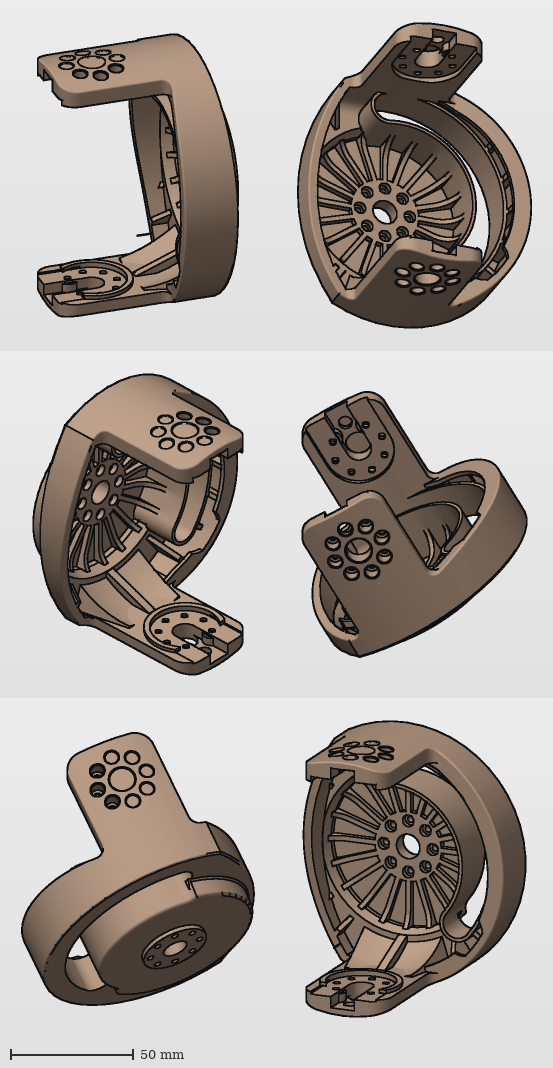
import cadquery as cq
import math

outer_radius = 54.2
left_reach = 39.8
corner_x = -24.8
corner_z = math.sqrt(outer_radius**2 - corner_x**2)

floor_y = -2.0
left_wall = 3.9
rim_wall = 3.5

arm_half_width = 18.9
arm_end_y = -63.5
arm_corner_radius = 7.5
arm_root_fillet = 3.5
outer_edge_fillet = 0.8
upper_arm_inner_z = 44.2
upper_root_radius = 5.0
lower_arm_inner_z = -45.7

upper_left_front_y = -16.0
middle_left_front_y = -13.1
lower_left_front_y = -9.1
left_edge_half_height = 41.2
rim_start_y = -17.9
rim_bend = (30.5, -19.6)
rim_end_y = -23.4
rim_overrun = 2.2
lid_thickness = 1.8
lid_inner_radius = 46.9
lid_opening_radius = 10.3
lid_opening_centre = (34.2, -25.8)

disc_back_y = 8.0
disc_radius = 35.8
disc_root_radius = 36.3
disc_flare_radius = 37.1
disc_flare = 0.9
disc_edge_fillet = 1.4
hub_back_y = 10.0
hub_diameter = 28.0
hub_face_y = 3.0
hub_plateau_radius = 14.9
dish_floor_y = 5.6
dish_radius = 34.4
dish_mouth_radius = 36.3

slot_inner_radius = 32.7
slot_outer_radius = 44.7
slot_mid_radius = (slot_inner_radius + slot_outer_radius) / 2
slot_half_width = (slot_outer_radius - slot_inner_radius) / 2
slot_start_angle = -39.0
slot_end_angle = 99.0
slot_wall = 1.5
slot_wall_front_y = -16.0

rib_count = 20
rib_pitch = 360 / rib_count
rib_width = 2.2
rib_curve_radius = 9.3
open_rib_radius = 36.7
gusset_steps = (-3, 7, 8, -7, -8)
web_steps = (-1, 0, 1, 2)
low_web_step = -2
gusset_start_radius = 39.1
gusset_end_radius = 47.7
gusset_front_y = -15.2
ramp_middle = (43.7, -10.7)
ramp_end = (47.2, -27.1)
ramp_side_spread = 17.0
ramp_side_offset = 6.7
ramp_side_taper = 12.0
centre_rib_width = 3.8
centre_rib_start = (-2.2, -36.3)
centre_rib_end = (-26.0, lower_arm_inner_z)

bolt_count = 8
bolt_circle_radius = 11.0
bolt_diameter = 2.7
hub_bore_diameter = 10.4
hub_counterbore = 4.9
hub_counterbore_depth = 2.7
arm_centre_y = -44.5
arm_counterbore = 5.4
arm_counterbore_floor = 47.5
boss_angles = (-45, -135)
bolt_boss = 8.0
arm_hole_chamfer = 0.4

cable_slot_roof = 51.2
seat_half_width = 14.5
seat_floor_z = 46.4
ring_outer_radius = 16.9
ring_height = 1.5
ring_cut_y = -53.0

margin = 10.8
tolerance = 0.01
arc_bow = 1 - math.sqrt(0.5)
far = 130.2


def polar(radius, angle):
    """Point in the XZ plane at an angle measured from +X towards +Z."""
    a = math.radians(angle)
    return (radius * math.cos(a), radius * math.sin(a))


def extrude_y(sketch, y_back, y_front):
    """Extrude an XZ outline from y_back forward to y_front."""
    return sketch.extrude(y_back - y_front).translate((0, y_back, 0))


def xz():
    return cq.Workplane("XZ")


def cylinder_y(radius, y_back, y_front):
    return extrude_y(xz().circle(radius), y_back, y_front)


def outline(inset_left, inset_round):
    """Round outline flattened on the left by a shallow arc."""
    rise = left_reach + corner_x
    arc_radius = (corner_z**2 + rise**2) / (2 * rise)
    arc_centre_x = arc_radius - left_reach
    round_prism = cylinder_y(outer_radius - inset_round, margin, -far)
    left_prism = cylinder_y(arc_radius - inset_left, margin, -far)
    return round_prism.intersect(left_prism.translate((arc_centre_x, 0, 0)))


def slot_prism(grow, y_back, y_front):
    """Curved slot around the hub axis, grown outward by an offset."""
    r_in = slot_inner_radius - grow
    r_out = slot_outer_radius + grow
    r_end = slot_half_width + grow
    mid_angle = (slot_start_angle + slot_end_angle) / 2
    tip_start = polar(slot_mid_radius, slot_start_angle)
    tip_end = polar(slot_mid_radius, slot_end_angle)
    start_direction = polar(r_end, slot_start_angle - 90)
    end_direction = polar(r_end, slot_end_angle + 90)
    start_apex = (tip_start[0] + start_direction[0], tip_start[1] + start_direction[1])
    end_apex = (tip_end[0] + end_direction[0], tip_end[1] + end_direction[1])
    sketch = (
        xz()
        .moveTo(*polar(r_out, slot_start_angle))
        .threePointArc(polar(r_out, mid_angle), polar(r_out, slot_end_angle))
        .threePointArc(end_apex, polar(r_in, slot_end_angle))
        .threePointArc(polar(r_in, mid_angle), polar(r_in, slot_start_angle))
        .threePointArc(start_apex, polar(r_out, slot_start_angle))
        .close()
    )
    return extrude_y(sketch, y_back, y_front)


def rim_front_curve(sketch):
    """Front edge of the right rim, drawn from the arm root outward."""
    rim_tip = (outer_radius + rim_overrun, rim_end_y)
    return sketch.lineTo(*rim_bend).tangentArcPoint(rim_tip, relative=False)


def plan_prism(left_front_y, z_low, z_high):
    """Body and arm as seen along Z, with one height for the left wall."""
    w = arm_half_width
    f = arm_root_fillet
    c = arm_corner_radius
    sketch = (
        cq.Workplane("XY", origin=(0, 0, z_low))
        .moveTo(-outer_radius, 0)
        .lineTo(-outer_radius, left_front_y)
        .lineTo(-w - f, left_front_y)
        .threePointArc((-w - f * arc_bow, left_front_y - f * arc_bow), (-w, left_front_y - f))
        .lineTo(-w, arm_end_y + c)
        .threePointArc((-w + c * arc_bow, arm_end_y + c * arc_bow), (-w + c, arm_end_y))
        .lineTo(w - c, arm_end_y)
        .threePointArc((w - c * arc_bow, arm_end_y + c * arc_bow), (w, arm_end_y + c))
        .lineTo(w, rim_start_y - f)
        .threePointArc((w + f * arc_bow, rim_start_y - f * arc_bow), (w + f, rim_start_y))
    )
    sketch = rim_front_curve(sketch).lineTo(outer_radius + rim_overrun, 0).close()
    return sketch.extrude(z_high - z_low)


def left_front_cut():
    """Space in front of the left wall, bounded by its S-shaped front edge."""
    return (
        cq.Workplane("YZ", origin=(-far, 0, 0))
        .moveTo(lower_left_front_y, -outer_radius)
        .lineTo(lower_left_front_y, -left_edge_half_height)
        .spline(
            [(middle_left_front_y, 0), (upper_left_front_y, left_edge_half_height)],
            tangents=[(0, 1), (0, 1)],
            includeCurrent=True,
        )
        .lineTo(upper_left_front_y, outer_radius)
        .lineTo(-far, outer_radius)
        .lineTo(-far, -outer_radius)
        .close()
        .extrude(far + corner_x)
    )


def outer_body():
    upper = plan_prism(upper_left_front_y, -left_edge_half_height, far)
    lower = plan_prism(lower_left_front_y, -far, -left_edge_half_height)
    solid = outline(0, 0).intersect(upper.union(lower)).cut(left_front_cut())
    solid = solid.newObject(front_outer_edges(solid)).fillet(outer_edge_fillet)
    return solid.faces(">Y").edges().fillet(outer_edge_fillet)


def on_round_outside(edge):
    """True when the whole edge lies on the round outside surface."""
    points = [edge.positionAt(i / 4) for i in range(5)]
    return all(abs(math.hypot(p.x, p.z) - outer_radius) < tolerance for p in points)


def front_outer_edges(solid):
    """Outer edges along the front of the rim, arms and left wall."""
    edges = []
    for edge in solid.edges().vals():
        centre = edge.Center()
        at_back = centre.y > floor_y
        is_corner = abs(centre.x - corner_x) < tolerance
        is_left_edge = centre.x < corner_x - tolerance
        if not at_back and not is_corner and (on_round_outside(edge) or is_left_edge):
            edges.append(edge)
    return edges


def arm_hole_edges(solid):
    """Edges where the arm holes meet the round outside."""
    reach = bolt_circle_radius + arm_counterbore
    edges = []
    for edge in solid.edges().vals():
        box = edge.BoundingBox()
        near = max(abs(box.xmin), abs(box.xmax)) < reach
        near = near and abs(edge.Center().y - arm_centre_y) < reach
        if near and on_round_outside(edge):
            edges.append(edge)
    return edges


def cavity():
    height = upper_arm_inner_z - lower_arm_inner_z
    slab = cq.Workplane("XY", origin=(0, 0, lower_arm_inner_z)).rect(far, 2 * far).extrude(height)
    front = cq.Workplane("XY").box(far, far, far).translate((0, floor_y - far / 2, 0))
    return outline(left_wall, rim_wall).intersect(slab).intersect(front)


def rim_lid(space):
    """Inward lip along the front of the right rim, open beside the slot's lower end."""
    start = (arm_half_width + arm_root_fillet, rim_start_y)
    front = rim_front_curve(cq.Workplane("XY", origin=(0, 0, -far)).moveTo(0, rim_start_y).lineTo(*start))
    front = front.lineTo(outer_radius + rim_overrun, 0).lineTo(0, 0).close().extrude(2 * far)
    under = front.translate((0, lid_thickness, 0))
    lid = front.cut(under).cut(cylinder_y(lid_inner_radius, margin, -far))
    opening = cylinder_y(lid_opening_radius, margin, -far)
    opening = opening.translate((lid_opening_centre[0], 0, lid_opening_centre[1]))
    return lid.cut(opening).intersect(space)


def upper_root_fillet():
    """Concave blend between the back plate and the upper arm, left of the slot."""
    r = upper_root_radius
    x_low = -left_reach
    top_z = upper_arm_inner_z
    return (
        cq.Workplane("YZ", origin=(x_low, 0, 0))
        .moveTo(floor_y, top_z)
        .lineTo(floor_y, top_z - r)
        .threePointArc((floor_y - r * arc_bow, top_z - r * arc_bow), (floor_y - r, top_z))
        .close()
        .extrude(-x_low)
    )


def lower_root_ramp():
    """Concave blend about the hub axis, from the back plate to the lower arm."""
    ring = (
        cq.Workplane("XY")
        .moveTo(gusset_start_radius, floor_y)
        .threePointArc(ramp_middle, ramp_end)
        .lineTo(outer_radius, ramp_end[1])
        .lineTo(outer_radius, floor_y)
        .close()
        .revolve(360, (0, 0, 0), (0, 1, 0))
    )
    spread = math.tan(math.radians(ramp_side_spread))
    top_z = -gusset_start_radius + margin
    bottom_z = -outer_radius - margin
    top_x = -top_z * spread + ramp_side_offset
    bottom_x = -bottom_z * spread + ramp_side_offset
    sides = (
        cq.Workplane("XZ", origin=(0, floor_y, 0))
        .polyline([(-top_x, top_z), (top_x, top_z), (bottom_x, bottom_z), (-bottom_x, bottom_z)])
        .close()
        .extrude(floor_y - ramp_end[1], taper=ramp_side_taper)
    )
    return ring.intersect(sides)


def centre_rib():
    return (
        cq.Workplane("YZ", origin=(-centre_rib_width / 2, 0, 0))
        .moveTo(floor_y, lower_arm_inner_z)
        .lineTo(floor_y, centre_rib_start[1])
        .lineTo(*centre_rib_start)
        .lineTo(*centre_rib_end)
        .close()
        .extrude(centre_rib_width)
    )


def radial_rib(profile_points, angle):
    """Rib with a (radius, y) profile, turned to its angle about the hub axis."""
    rib = cq.Workplane("XY", origin=(0, 0, -rib_width / 2)).polyline(profile_points).close()
    return rib.extrude(rib_width).rotate((0, 0, 0), (0, 1, 0), -angle)


def outer_ribs():
    gusset = [
        (gusset_start_radius, floor_y),
        (gusset_end_radius, gusset_front_y),
        (outer_radius, gusset_front_y),
        (outer_radius, floor_y),
    ]
    web = [
        (slot_outer_radius, floor_y),
        (slot_outer_radius, slot_wall_front_y),
        (lid_inner_radius, slot_wall_front_y),
        (lid_inner_radius, rim_end_y),
        (outer_radius, rim_end_y),
        (outer_radius, floor_y),
    ]
    low_web = [
        (slot_outer_radius, floor_y),
        (slot_outer_radius, gusset_front_y),
        (outer_radius, gusset_front_y),
        (outer_radius, floor_y),
    ]
    ribs = radial_rib(low_web, low_web_step * rib_pitch)
    for step in gusset_steps:
        ribs = ribs.union(radial_rib(gusset, step * rib_pitch))
    for step in web_steps:
        ribs = ribs.union(radial_rib(web, step * rib_pitch))
    return ribs


def back_disc():
    disc = (
        cq.Workplane("XY")
        .moveTo(0, floor_y)
        .lineTo(disc_flare_radius, floor_y)
        .lineTo(disc_flare_radius, 0)
        .lineTo(disc_root_radius, disc_flare)
        .lineTo(disc_radius, disc_back_y)
        .lineTo(0, disc_back_y)
        .close()
        .revolve(360, (0, 0, 0), (0, 1, 0))
    )
    return disc.union(cylinder_y(hub_diameter / 2, hub_back_y, 0))


def disc_back_edges(solid):
    """Outer edges of the back disc, including those along the slot."""
    edges = []
    for edge in solid.edges().vals():
        on_back = all(abs(edge.positionAt(i / 2).y - disc_back_y) < tolerance for i in range(3))
        start = edge.startPoint()
        if on_back and math.hypot(start.x, start.z) > hub_diameter:
            edges.append(edge)
    return edges


def dish_space():
    return (
        cq.Workplane("XY")
        .moveTo(0, dish_floor_y)
        .lineTo(dish_radius, dish_floor_y)
        .lineTo(dish_radius, hub_face_y)
        .lineTo(dish_mouth_radius, floor_y)
        .lineTo(0, floor_y)
        .close()
        .revolve(360, (0, 0, 0), (0, 1, 0))
    )


def slot_wall_solid():
    """Wall around the slot, inside the outline in front and inside the disc behind."""
    front = slot_prism(slot_wall, floor_y / 2, slot_wall_front_y).intersect(outline(left_wall, rim_wall))
    back = slot_prism(slot_wall, dish_floor_y, floor_y / 2)
    return front.union(back.intersect(cylinder_y(dish_radius, margin, -margin)))


def dish_rib(wall_radius, angle):
    """Rib that runs flat from the hub and curves up against the outer wall."""
    r = rib_curve_radius
    bend_radius = wall_radius - r
    rib = (
        cq.Workplane("XY", origin=(0, 0, -rib_width / 2))
        .moveTo(0, dish_floor_y)
        .lineTo(0, hub_face_y)
        .lineTo(bend_radius, hub_face_y)
        .threePointArc((wall_radius - r * arc_bow, hub_face_y - r * arc_bow), (wall_radius, hub_face_y - r))
        .lineTo(wall_radius, dish_floor_y)
        .close()
        .extrude(rib_width)
    )
    return rib.rotate((0, 0, 0), (0, 1, 0), -angle)


def dish_ribs():
    ribs = cylinder_y(hub_plateau_radius, dish_floor_y, hub_face_y)
    dish_limit = cylinder_y(dish_radius, dish_floor_y, floor_y)
    slot_wall_radius = slot_inner_radius - slot_wall
    for i in range(rib_count):
        angle = i * rib_pitch
        beside_slot = angle <= 90 or angle >= 360 + slot_start_angle
        if beside_slot:
            ribs = ribs.union(dish_rib(slot_wall_radius, angle))
        else:
            ribs = ribs.union(dish_rib(open_rib_radius, angle).intersect(dish_limit))
    return ribs


def hub_holes():
    holes = cylinder_y(hub_bore_diameter / 2, margin, -margin)
    for i in range(bolt_count):
        x, z = polar(bolt_circle_radius, i * 360 / bolt_count)
        bolt = cylinder_y(bolt_diameter / 2, margin, hub_face_y)
        bolt = bolt.union(
            cylinder_y(hub_counterbore / 2, hub_face_y + hub_counterbore_depth, hub_face_y)
        )
        holes = holes.union(bolt.translate((x, 0, z)))
    return holes


def cylinder_z(diameter, z_low, z_high):
    return cq.Workplane("XY", origin=(0, 0, z_low)).circle(diameter / 2).extrude(z_high - z_low)


def arm_holes():
    inner_z = upper_arm_inner_z - margin / 2
    outer_z = outer_radius + margin
    bore = cylinder_z(hub_bore_diameter, inner_z, outer_z).translate((0, arm_centre_y, 0))
    holes = [bore]
    for i in range(bolt_count):
        dx, dy = polar(bolt_circle_radius, i * 360 / bolt_count)
        bolt = cylinder_z(bolt_diameter, inner_z, outer_z)
        bolt = bolt.union(cylinder_z(arm_counterbore, arm_counterbore_floor, outer_z))
        holes.append(bolt.translate((dx, arm_centre_y + dy, 0)))
    cable_slot = cq.Workplane("XY").box(
        hub_bore_diameter, margin - arm_end_y + arm_centre_y, cable_slot_roof - inner_z,
        centered=(True, False, False),
    )
    cable_slot = cable_slot.translate((0, arm_end_y - margin, inner_z))
    for angle in boss_angles:
        dx, dy = polar(bolt_circle_radius, angle)
        boss = cylinder_z(bolt_boss, arm_counterbore_floor, outer_radius)
        cable_slot = cable_slot.cut(boss.translate((dx, arm_centre_y + dy, 0)))
    return [cable_slot] + holes


def motor_seat(z_low, depth):
    """U-shaped recess in the inner face of an arm, open at the arm's end."""
    seat = cylinder_z(2 * seat_half_width, z_low, z_low + depth).translate((0, arm_centre_y, 0))
    run = cq.Workplane("XY").box(
        2 * seat_half_width, arm_centre_y - arm_end_y, depth, centered=(True, False, False)
    )
    return seat.union(run.translate((0, arm_end_y, z_low)))


def lower_ring():
    """Raised ring segment on the lower arm, cut straight on its outer side."""
    ring = (
        cq.Workplane("XY", origin=(0, arm_centre_y, lower_arm_inner_z))
        .circle(ring_outer_radius)
        .circle(seat_half_width)
        .extrude(ring_height)
    )
    trim = cq.Workplane("XY").box(far, far, far * 2).translate((0, ring_cut_y - far / 2, 0))
    return ring.cut(trim)


space = cavity()
shell = outer_body()
for hole in arm_holes():
    shell = shell.cut(hole).cut(hole.mirror("XY"))
shell = shell.newObject(arm_hole_edges(shell)).chamfer(arm_hole_chamfer)
inner_parts = rim_lid(space)
for part in (outer_ribs(), upper_root_fillet(), lower_root_ramp(), centre_rib()):
    inner_parts = inner_parts.union(part.intersect(space))

body = shell.cut(space).union(inner_parts.intersect(shell))
body = body.union(back_disc()).cut(dish_space())
body = body.union(slot_wall_solid()).union(dish_ribs())
body = body.cut(slot_prism(0, margin, -far))
body = body.newObject(disc_back_edges(body)).fillet(disc_edge_fillet)
body = body.cut(hub_holes())
body = body.union(lower_ring())
body = body.cut(motor_seat(upper_arm_inner_z, seat_floor_z - upper_arm_inner_z))
body = body.cut(motor_seat(-seat_floor_z, seat_floor_z + lower_arm_inner_z))
result = body